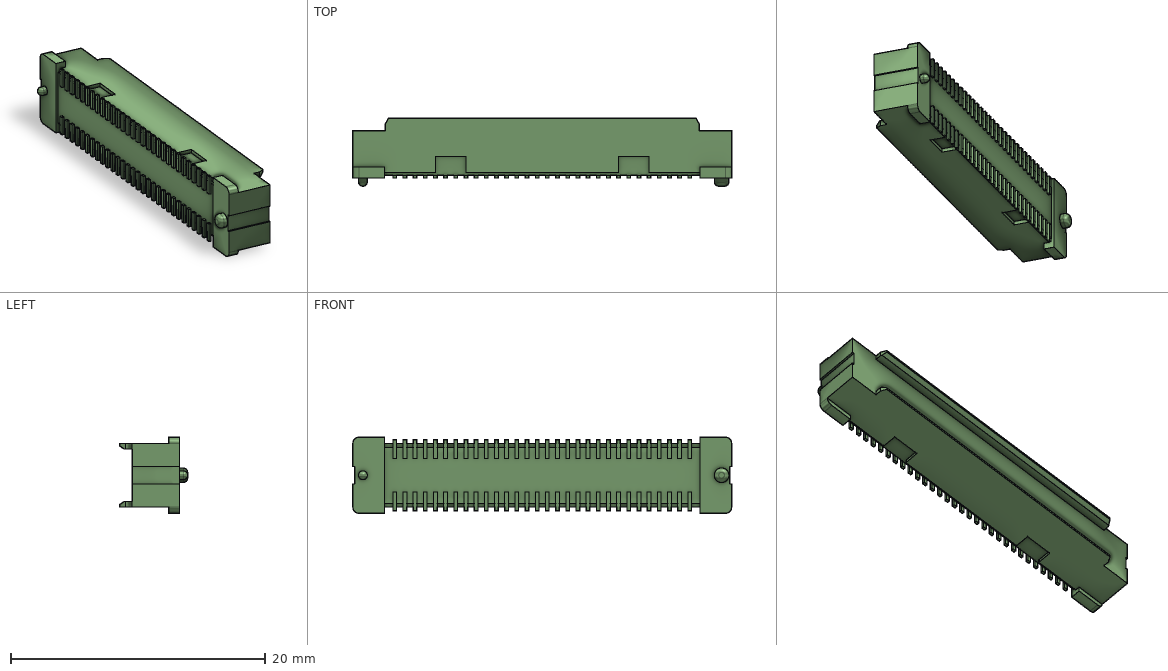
import cadquery as cq
import math

length = 29.8
body_height = 5.0
body_front = 0.45
body_back = 3.73
overlap = 0.1

strip_front = 0.2
strip_height = 4.4

flange_length = 2.5
flange_height = 6.0
flange_thickness = 0.85
flange_radius = 0.5

notch_depth = 0.15
notch_height = 1.35

wall_length = 24.7
wall_thickness = 0.45
wall_tip = 4.7
wall_corner_x = 0.25
wall_corner_y = 0.45
wall_lead_in_z = 0.25
wall_lead_in_y = 0.35

pocket_length = 2.4
pocket_center = 7.2
pocket_back = 1.7

contact_count = 30
contact_pitch = 0.8
contact_width = 0.3
contact_inner = 1.3
contact_outer = 2.8

peg_height = 0.65
peg_rounding = 0.35
peg_radius_left = 0.35
peg_radius_right = 0.575
peg_center_left = -14.1
peg_center_right = 14.1


def block(x_range, y_range, z_range):
    """Box given by its limits along each axis."""
    x0, x1 = x_range
    y0, y1 = y_range
    z0, z1 = z_range
    return cq.Workplane("XY").box(x1 - x0, y1 - y0, z1 - z0, centered=False).translate((x0, y0, z0))


def span(center, size):
    """Lower and upper limit of a size centred on a position."""
    return (center - size / 2, center + size / 2)


def make_body():
    """Main block with the raised contact strip on its front."""
    block_part = block(span(0, length), (body_front, body_back), span(0, body_height))
    strip_length = length - 2 * flange_length + 2 * overlap
    strip = block(span(0, strip_length), (strip_front, body_front + overlap), span(0, strip_height))
    return block_part.union(strip)


def make_flange(side):
    """End flange with rounded outer corners; side is -1 at -X and +1 at +X."""
    center = side * (length - flange_length) / 2
    flange = block(span(center, flange_length), (0, flange_thickness), span(0, flange_height))
    outer_corners = "|Y and >X" if side > 0 else "|Y and <X"
    return flange.edges(outer_corners).fillet(flange_radius)


def make_end_notch(side):
    """Cutter for the notch that runs the full depth of one end."""
    return block(span(side * length / 2, 2 * notch_depth), (0, body_back), span(0, notch_height))


def make_upper_wall():
    """Upper mating wall with bevelled corners and a lead-in on the inner edge."""
    half = wall_length / 2
    root = body_back - overlap
    outline = [
        (-half, root),
        (-half, wall_tip - wall_corner_y),
        (-half + wall_corner_x, wall_tip),
        (half - wall_corner_x, wall_tip),
        (half, wall_tip - wall_corner_y),
        (half, root),
    ]
    outer = body_height / 2
    inner = outer - wall_thickness
    wall = cq.Workplane("XY").workplane(offset=inner).polyline(outline).close().extrude(wall_thickness)
    lead_in = (
        cq.Workplane("YZ")
        .moveTo(wall_tip, inner)
        .lineTo(wall_tip, inner + wall_lead_in_z)
        .lineTo(wall_tip - wall_lead_in_y, inner)
        .close()
        .extrude(half, both=True)
    )
    return wall.cut(lead_in)


def make_upper_pocket(center):
    """Cutter for one pocket, open at the top and at the front."""
    z_range = (strip_height / 2, body_height / 2)
    return block(span(center, pocket_length), (body_front, pocket_back), z_range)


def make_upper_contacts():
    """Row of contact tails lying on the front of the strip."""
    row = cq.Workplane("XY")
    for index in range(contact_count):
        center = (index - (contact_count - 1) / 2) * contact_pitch
        row.add(block(span(center, contact_width), (0, strip_front), (contact_inner, contact_outer)))
    return row.combine()


def make_peg(center, radius):
    """Round-ended peg standing on the front of a flange."""
    shoulder = peg_height - peg_rounding
    flat_radius = radius - peg_rounding
    arc_offset = peg_rounding * math.sin(math.radians(45))
    profile = (
        cq.Workplane("XY")
        .moveTo(0, overlap)
        .lineTo(radius, overlap)
        .lineTo(radius, -shoulder)
        .threePointArc((flat_radius + arc_offset, -shoulder - arc_offset), (flat_radius, -peg_height))
    )
    if flat_radius > 0:
        profile = profile.lineTo(0, -peg_height)
    return profile.close().revolve(360, (0, 0, 0), (0, 1, 0)).translate((center, 0, 0))


def on_both_rows(upper):
    """An upper feature together with its mirror image below the centre plane."""
    return [upper, upper.mirror("XY")]


result = make_body()

for side in (-1, 1):
    result = result.union(make_flange(side))
    result = result.cut(make_end_notch(side))
    for pocket in on_both_rows(make_upper_pocket(side * pocket_center)):
        result = result.cut(pocket)

for wall in on_both_rows(make_upper_wall()):
    result = result.union(wall)

for contacts in on_both_rows(make_upper_contacts()):
    result = result.union(contacts)

result = result.union(make_peg(peg_center_left, peg_radius_left))
result = result.union(make_peg(peg_center_right, peg_radius_right))